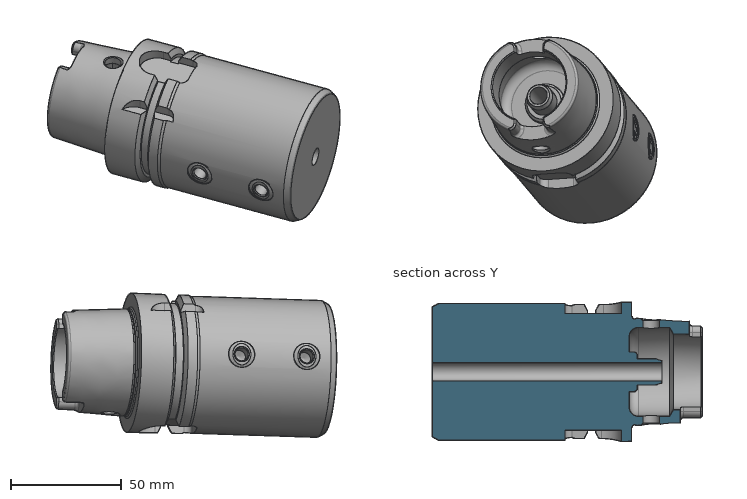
import cadquery as cq
import math

length = 122.0
taper_end = 29.8
neck_start = 30.5
neck_end = 30.9
fillet_start = 31.5
flange_face = 32.0
groove_start = 48.2
groove_end = 51.8
groove_chamfer = 1.5
rim_end = 57.7
body_start = 58.9
body_chamfer_start = 119.1
end_break = 0.4

tip_round = 1.1
taper_small_radius = 22.7
taper_large_radius = 24.3
neck_radius = 48.0 / 2
fillet_start_radius = 24.4
fillet_end_radius = 25.3
neck_fillet = 1.0
flange_radius = 63.0 / 2
groove_radius = 27.5
groove_lip_radius = 28.8
body_radius = 62.0 / 2
body_end_radius = 29.6

mouth_radius = 35.1 / 2
mouth_chamfer_length = 0.5
socket_radius = 34.0 / 2
chamber_radius = 40.0 / 2
chamber_cone_start = 13.0
chamber_cone_angle = 60.0
socket_floor_radius = 32.0 / 2
socket_floor = 33.0

tube_tip = 18.3
tube_tip_length = 2.6
tube_tip_radius = 5.1
tube_radius = 12.0 / 2
nut_start = 29.3
nut_radius = 18.0 / 2
nut_chamfer = 1.1
coolant_diameter = 8.0

slot_half_width = 6.2
slot_flare_start = 17.8
slot_flare_radius = 2.9
slot_floor_fillet = 1.5
slot_mouth_chamfer = 0.9
slot_mouth_angle = 45.0
slot_inner_reach = 9.8
slot_outer_reach = 25.6
slot_outer_half_width = 12.2
top_slot_depth = 5.9
bottom_slot_depth = 9.9

access_x = 23.0
access_inner_reach = 12.2
access_diameter = 7.5
access_mouth_diameter = 8.9

key_start = 36.6
key_end = 62.0
key_corner = 3.2
key_clearance = 1.2
key_floor = 26.5
top_key_half_width = 16.0 / 2
bottom_key_half_width = 18.0 / 2
notch_floor = 20.0
notch_wall = 20.1

screw_positions = (78.1, 108.0)
screw_radius = 12.0 / 2
screw_rim_radius = 4.1
screw_rim_depth = 0.92
screw_recess_radius = 6.0 / 2
screw_recess_mouth_radius = 7.0 / 2
screw_recess_mouth_depth = 0.2
screw_recess_depth = 7.3
screw_cone_depth = 1.7
screw_clearance = 0.5


def revolve_x(profile):
    """Solid of revolution about X from a closed profile in the XY plane."""
    return profile.revolve(360, (0, 0, 0), (1, 0, 0))


def revolve_radial(profile):
    """Solid of revolution about the local Y axis of the profile's workplane."""
    return profile.revolve(360, (0, 0, 0), (0, 1, 0))


def outer_body():
    tip_radius = taper_small_radius - tip_round
    round_mid = tip_round * math.sqrt(0.5)
    profile = (
        cq.Workplane("XY")
        .moveTo(0, 0)
        .lineTo(0, tip_radius)
        .threePointArc(
            (tip_round - round_mid, tip_radius + round_mid),
            (tip_round, taper_small_radius),
        )
        .lineTo(taper_end, taper_large_radius)
        .lineTo(neck_start, neck_radius)
        .lineTo(neck_end, neck_radius)
        .lineTo(fillet_start, fillet_start_radius)
        .radiusArc((flange_face, fillet_end_radius), neck_fillet)
        .lineTo(flange_face, flange_radius)
        .lineTo(groove_start - groove_chamfer, flange_radius)
        .lineTo(groove_start, groove_lip_radius)
        .lineTo(groove_start, groove_radius)
        .lineTo(groove_end, groove_radius)
        .lineTo(groove_end, groove_lip_radius)
        .lineTo(groove_end + groove_chamfer, flange_radius)
        .lineTo(rim_end, flange_radius)
        .lineTo(body_start, body_radius)
        .lineTo(body_chamfer_start, body_radius)
        .lineTo(length - end_break, body_end_radius)
        .lineTo(length, body_end_radius - end_break)
        .lineTo(length, 0)
        .close()
    )
    return revolve_x(profile)


def socket():
    """Bore that widens into a clamping chamber with a rounded floor corner."""
    cone_length = (chamber_radius - socket_radius) / math.tan(math.radians(chamber_cone_angle))
    corner = chamber_radius - socket_floor_radius
    corner_mid = corner * math.sqrt(0.5)
    profile = (
        cq.Workplane("XY")
        .moveTo(0, 0)
        .lineTo(0, mouth_radius)
        .lineTo(mouth_chamfer_length, socket_radius)
        .lineTo(chamber_cone_start, socket_radius)
        .lineTo(chamber_cone_start + cone_length, chamber_radius)
        .lineTo(socket_floor - corner, chamber_radius)
        .threePointArc(
            (socket_floor - corner + corner_mid, socket_floor_radius + corner_mid),
            (socket_floor, socket_floor_radius),
        )
        .lineTo(socket_floor, 0)
        .close()
    )
    return revolve_x(profile)


def coolant_tube():
    """Bevelled tube and its round nut, rising from the socket floor."""
    profile = (
        cq.Workplane("XY")
        .polyline([
            (tube_tip, 0),
            (tube_tip, tube_tip_radius),
            (tube_tip + tube_tip_length, tube_radius),
            (nut_start, tube_radius),
            (nut_start, nut_radius - nut_chamfer),
            (nut_start + nut_chamfer, nut_radius),
            (socket_floor, nut_radius),
            (socket_floor, 0),
        ])
        .close()
    )
    return revolve_x(profile)


def slot_profile(side):
    """Slot section in the YZ plane, flaring outward; side is +1 for +Z and -1 for -Z."""
    flare_half = slot_half_width + slot_flare_radius
    flare_top = side * (slot_flare_start + slot_flare_radius)
    flare_base = side * slot_flare_start
    inner = side * slot_inner_reach
    outer = side * slot_outer_reach
    mid_offset = slot_flare_radius * math.sqrt(0.5)
    mid_half = flare_half - mid_offset
    mid_height = flare_base + side * mid_offset
    return (
        cq.Workplane("YZ")
        .moveTo(-slot_half_width, inner)
        .lineTo(slot_half_width, inner)
        .lineTo(slot_half_width, flare_base)
        .threePointArc((mid_half, mid_height), (flare_half, flare_top))
        .lineTo(slot_outer_half_width, flare_top)
        .lineTo(slot_outer_half_width, outer)
        .lineTo(-slot_outer_half_width, outer)
        .lineTo(-slot_outer_half_width, flare_top)
        .lineTo(-flare_half, flare_top)
        .threePointArc((-mid_half, mid_height), (-slot_half_width, flare_base))
        .close()
    )


def drive_slot(side, depth):
    """Slot cutter with a filleted floor edge and a chamfer at the shank's open end."""
    channel = slot_profile(side).extrude(depth)
    channel = channel.faces(">X").edges().fillet(slot_floor_fillet)
    mouth = slot_profile(side).offset2D(slot_mouth_chamfer)
    return channel.union(mouth.extrude(slot_mouth_chamfer, taper=slot_mouth_angle))


def access_hole(side):
    """Radial hole from the +Z or -Z side of the taper into the socket, with a chamfered mouth."""
    taper_slope = (taper_large_radius - taper_small_radius) / (taper_end - tip_round)
    surface = taper_small_radius + taper_slope * (access_x - tip_round)
    hole_radius = access_diameter / 2
    mouth_wide_radius = access_mouth_diameter / 2
    chamfer = mouth_wide_radius - hole_radius
    outside = surface + chamfer
    profile = (
        cq.Workplane("XZ", origin=(access_x, 0, 0))
        .polyline([
            (0, side * access_inner_reach),
            (hole_radius, side * access_inner_reach),
            (hole_radius, side * (surface - chamfer)),
            (mouth_wide_radius + chamfer, side * outside),
            (0, side * outside),
        ])
        .close()
    )
    return revolve_radial(profile)


def keyway(side, center_y, half_width, floor):
    """Slot milled from +Z or -Z: round at its shank end, square with small corners at the other."""
    height = side * (flange_radius - floor + key_clearance)
    outline = (
        cq.Workplane("XY", origin=(0, center_y, side * floor))
        .moveTo(key_start + half_width, half_width)
        .threePointArc((key_start, 0), (key_start + half_width, -half_width))
        .lineTo(key_end, -half_width)
        .lineTo(key_end, half_width)
        .close()
    )
    return outline.extrude(height).edges("|Z and >X").fillet(key_corner)


def screw_groove(x):
    """Ring groove around a screw facing -Y, its inner flank being the bevelled screw end."""
    flank_slope = (screw_radius - screw_rim_radius) / screw_rim_depth
    outside = body_radius + screw_clearance
    profile = (
        cq.Workplane("XY", origin=(x, 0, 0))
        .polyline([
            (screw_radius, -body_radius + screw_rim_depth),
            (screw_radius, -outside),
            (screw_rim_radius - flank_slope * screw_clearance, -outside),
        ])
        .close()
    )
    return revolve_radial(profile)


def screw_recess(x):
    """Chamfered round recess with a conical bottom in the end of a screw facing -Y."""
    chamfer = screw_recess_mouth_radius - screw_recess_radius
    mouth = body_radius - screw_recess_mouth_depth
    floor = body_radius - screw_recess_depth
    outside = body_radius + screw_clearance
    profile = (
        cq.Workplane("XY", origin=(x, 0, 0))
        .polyline([
            (0, -outside),
            (screw_recess_mouth_radius, -outside),
            (screw_recess_mouth_radius, -mouth),
            (screw_recess_radius, -mouth + chamfer),
            (screw_recess_radius, -floor),
            (0, -floor + screw_cone_depth),
        ])
        .close()
    )
    return revolve_radial(profile)


result = outer_body().cut(socket()).union(coolant_tube())
result = result.cut(cq.Workplane("YZ").circle(coolant_diameter / 2).extrude(length))

for side, slot_depth in ((1, top_slot_depth), (-1, bottom_slot_depth)):
    result = result.cut(drive_slot(side, slot_depth))
    result = result.cut(access_hole(side))

notch_center = -notch_wall - top_key_half_width
result = result.cut(keyway(1, 0, top_key_half_width, key_floor))
result = result.cut(keyway(-1, 0, bottom_key_half_width, key_floor))
result = result.cut(keyway(1, notch_center, top_key_half_width, notch_floor))

for screw_x in screw_positions:
    result = result.cut(screw_groove(screw_x)).cut(screw_recess(screw_x))